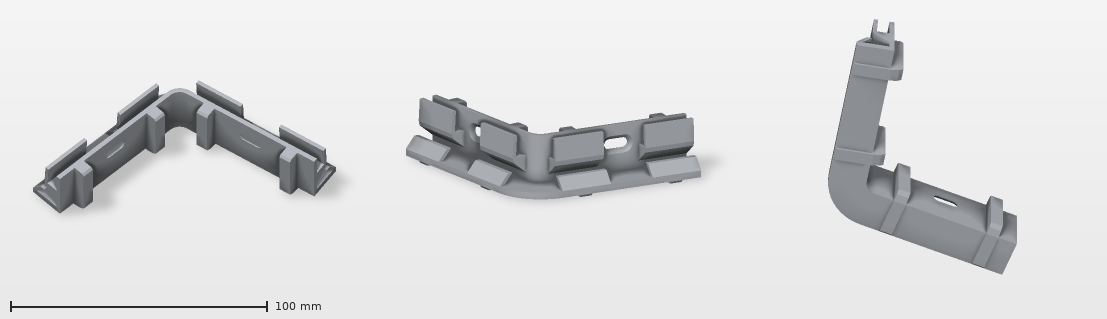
import cadquery as cq
import math

OVERALL_LENGTH = 91.9
ARM_ANGLE = 102.0
BEND_ANGLE = 180.0 - ARM_ANGLE
TILT = math.radians(ARM_ANGLE - 90.0)

ARM_WIDTH = 15.0
ARM_HEIGHT = 22.0
BASE_THICKNESS = 2.8
WALL_THICKNESS = 1.9

INNER_RADIUS = 5.1
OUTER_RADIUS = INNER_RADIUS + ARM_WIDTH

ARM_LENGTH = (OVERALL_LENGTH - OUTER_RADIUS * math.cos(TILT)) / (1 + math.sin(TILT))
SLOTTED_LENGTH = 18.0
CLIP_LENGTH = (ARM_LENGTH - SLOTTED_LENGTH) / 2

SLOT_LENGTH = 10.0
SLOT_WIDTH = 4.0
SLOT_HEIGHT = 13.9
COUNTERSINK = 1.7
SLOT_LAND = 0.4

LIP_TOP = 7.3
LIP_TOP_OUTER = 10.85
LIP_TOP_INNER = 8.8
LIP_FOOT_INNER = 12.8

HOOK_ROOT = 6.0
HOOK_BEVEL_LOW_OUT = 8.1
HOOK_BEVEL_LOW_HEIGHT = 10.9
CHANNEL_FLOOR = 13.0
TONGUE_FOOT_INNER = 7.0
TONGUE_FOOT_OUTER = 8.6
TONGUE_TOP_INNER = 6.4
TONGUE_TOP_OUTER = 8.1

RIB_WIDTH = 5.0
RIB_DEPTH = 5.1
RIB_TOP_CHAMFER = 0.9
FOOT_DEPTH = 1.1
FOOT_END = 14.8
FOOT_END_CHAMFER = 0.8
HEEL_START_HEIGHT = 0.8
HEEL_MIDDLE_OUT = -3.3
HEEL_MIDDLE_HEIGHT = -0.4
HEEL_END_OUT = -0.4

L_SECTION = [
    (0, 0),
    (ARM_WIDTH, 0),
    (ARM_WIDTH, BASE_THICKNESS),
    (WALL_THICKNESS, BASE_THICKNESS),
    (WALL_THICKNESS, ARM_HEIGHT),
    (0, ARM_HEIGHT),
]

LIP_OUTLINE = [
    (ARM_WIDTH, BASE_THICKNESS),
    (LIP_TOP_OUTER, LIP_TOP),
    (LIP_TOP_INNER, LIP_TOP),
    (LIP_FOOT_INNER, BASE_THICKNESS),
]

HOOK_OUTLINE = [
    (WALL_THICKNESS, HOOK_ROOT),
    (HOOK_BEVEL_LOW_OUT, HOOK_BEVEL_LOW_HEIGHT),
    (TONGUE_FOOT_OUTER, CHANNEL_FLOOR),
    (TONGUE_TOP_OUTER, ARM_HEIGHT),
    (TONGUE_TOP_INNER, ARM_HEIGHT),
    (TONGUE_FOOT_INNER, CHANNEL_FLOOR),
    (WALL_THICKNESS, CHANNEL_FLOOR),
]

RIB_OUTLINE = [
    (0, 0),
    (0, ARM_HEIGHT),
    (RIB_TOP_CHAMFER - RIB_DEPTH, ARM_HEIGHT),
    (-RIB_DEPTH, ARM_HEIGHT - RIB_TOP_CHAMFER),
    (-RIB_DEPTH, HEEL_START_HEIGHT),
    (HEEL_MIDDLE_OUT, HEEL_MIDDLE_HEIGHT),
    (HEEL_END_OUT, -FOOT_DEPTH),
    (FOOT_END - FOOT_END_CHAMFER, -FOOT_DEPTH),
    (FOOT_END, 0),
]


def along_arm(outline, start, length):
    """Extrude an (out, height) outline along the straight arm that runs in +X."""
    plane = cq.Workplane("YZ", origin=(start, INNER_RADIUS, 0))
    return plane.polyline(outline).close().extrude(length)


def make_bend():
    """The L section swept from the X arm around to the tilted arm."""
    section = [(INNER_RADIUS + out, height) for out, height in L_SECTION]
    turned = cq.Workplane("XZ").polyline(section).close().revolve(BEND_ANGLE, (0, 0), (0, 1))
    return turned.rotate((0, 0, 0), (0, 0, 1), 90)


def make_slot(middle):
    """Cutter for the slot, straight at the open wall face and then widening through the wall."""
    face = cq.Workplane("XZ", origin=(middle, INNER_RADIUS, SLOT_HEIGHT))
    land = face.slot2D(SLOT_LENGTH, SLOT_WIDTH).extrude(-SLOT_LAND)
    flare = (
        face.workplane(offset=-SLOT_LAND)
        .slot2D(SLOT_LENGTH, SLOT_WIDTH)
        .workplane(offset=SLOT_LAND - WALL_THICKNESS)
        .slot2D(SLOT_LENGTH + 2 * COUNTERSINK, SLOT_WIDTH + 2 * COUNTERSINK)
        .loft(ruled=True)
    )
    return land.union(flare)


def make_slotted_section(start):
    """Plain stretch of the L section with the countersunk slot in its wall."""
    plain = along_arm(L_SECTION, start, SLOTTED_LENGTH)
    return plain.cut(make_slot(start + SLOTTED_LENGTH / 2))


def make_clip_section(start):
    """Stretch of the L section with its lip, hook and a rib at mid-length."""
    rib_start = start + (CLIP_LENGTH - RIB_WIDTH) / 2
    clip = along_arm(L_SECTION, start, CLIP_LENGTH)
    clip = clip.union(along_arm(LIP_OUTLINE, start, CLIP_LENGTH))
    clip = clip.union(along_arm(HOOK_OUTLINE, start, CLIP_LENGTH))
    return clip.union(along_arm(RIB_OUTLINE, rib_start, RIB_WIDTH))


def on_tilted_arm(section):
    """Mirrored copy of an X-arm section, turned onto the tilted arm."""
    return section.mirror("YZ").rotate((0, 0, 0), (0, 0, 1), BEND_ANGLE)


bend = make_bend()
slotted = make_slotted_section(CLIP_LENGTH)
clips = [make_clip_section(start) for start in (0, CLIP_LENGTH + SLOTTED_LENGTH)]

bodies = [bend.solids().val()]
for section in [slotted, *clips]:
    bodies.append(section.solids().val())
    bodies.append(on_tilted_arm(section).solids().val())

result = cq.Compound.makeCompound(bodies)